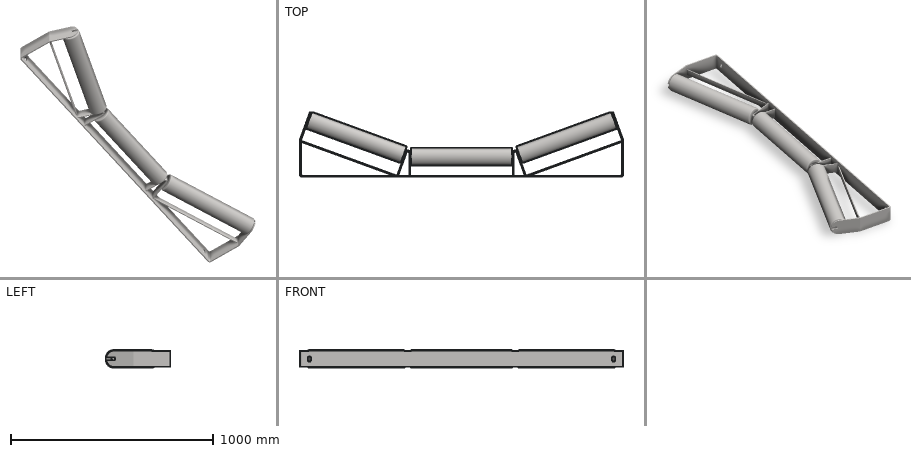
import cadquery as cq
import math

TROUGH_ANGLE = 20
TOTAL_HEIGHT = 320.17

FRAME_LENGTH = 1600
FRAME_WIDTH = 80
PLATE = 6
FRAME_BEND_RADIUS = 12
ARM_BEND_HEIGHT = 182.5

ROLLER_DIAMETER = 89
ROLLER_LENGTH = 500
ROLLER_ROUNDING = 5
CENTRE_AXIS_HEIGHT = 100
WING_CENTRE_X = 520.5

SHAFT_DIAMETER = 20
SHAFT_FLATS = 14
SHAFT_GAP = 4

BRACKET_PLATE = 5
BRACKET_WIDTH = 50
BRACKET_HEIGHT = 130
BRACKET_BEND_RADIUS = 11

BRACE_WIDTH = 30
BRACE_PLATE = 5
BRACE_TOP_HEIGHT = 178

HOLE_X = 753
HOLE_WIDTH = 18
HOLE_HEIGHT = 24

SIN = math.sin(math.radians(TROUGH_ANGLE))
COS = math.cos(math.radians(TROUGH_ANGLE))
TAN = SIN / COS
HALF_FRAME = FRAME_LENGTH / 2
HALF_ROLLER = ROLLER_LENGTH / 2
ROLLER_RADIUS = ROLLER_DIAMETER / 2

WING_RISE = (
    (HALF_ROLLER - ROLLER_ROUNDING) * SIN + (ROLLER_RADIUS - ROLLER_ROUNDING) * COS + ROLLER_ROUNDING
)
WING_CENTRE_Y = TOTAL_HEIGHT - WING_RISE

BRACKET_REACH = HALF_ROLLER + SHAFT_GAP + BRACKET_PLATE
ARM_REACH = (HALF_FRAME - WING_CENTRE_X) * COS + (ARM_BEND_HEIGHT - WING_CENTRE_Y) * SIN


def mirrored(body):
    """The right-hand counterpart of a left-hand body."""
    return body.mirror("YZ")


def to_wing(body):
    """Carry a body built along the X axis onto the left wing roller's axis."""
    tilted = body.rotate((0, 0, 0), (0, 0, 1), -TROUGH_ANGLE)
    return tilted.translate((-WING_CENTRE_X, WING_CENTRE_Y, 0))


def wing_point(along, across):
    """Point `along` the left wing axis from the roller's middle, outwards, and `across` it, upwards."""
    x = -WING_CENTRE_X - along * COS + across * SIN
    y = WING_CENTRE_Y + along * SIN + across * COS
    return (x, y)


def left_offset(points, distance):
    """The path moved sideways to its left by `distance`, with mitred corners."""
    headings = [math.atan2(q[1] - p[1], q[0] - p[0]) for p, q in zip(points, points[1:])]
    before = [headings[0]] + headings
    after = headings + [headings[-1]]
    moved = []
    for (x, y), a, b in zip(points, before, after):
        mitre = distance / math.cos((b - a) / 2)
        middle = (a + b) / 2
        moved.append((x - mitre * math.sin(middle), y + mitre * math.cos(middle)))
    return moved


def round_corners(body, corners, radius):
    for x, y in corners:
        body = body.edges(cq.selectors.NearestToPointSelector((x, y, 0))).fillet(radius)
    return body


def bent_plate(outer_path, width, thickness, bend_radius):
    """Plate folded along a path; the path is its outer face and lies to the right of the metal."""
    inner_path = left_offset(outer_path, thickness)
    outline = outer_path + inner_path[::-1]
    body = cq.Workplane("XY").polyline(outline).close().extrude(width / 2, both=True)
    body = round_corners(body, outer_path[1:-1], bend_radius)
    return round_corners(body, inner_path[1:-1], bend_radius - thickness)


def flat_sided_shaft(start, end):
    """Round bar along X with two flats facing up and down Z."""
    bar = cq.Workplane("YZ").workplane(offset=start).circle(SHAFT_DIAMETER / 2).extrude(end - start)
    flats = cq.Workplane("XY").box(FRAME_LENGTH, SHAFT_DIAMETER, SHAFT_FLATS)
    return bar.intersect(flats)


def shaft_slot(start, end):
    """Cutter for a slot that seats a shaft and is open above it."""
    opening = (
        cq.Workplane("XY")
        .box(end - start, FRAME_WIDTH, SHAFT_FLATS, centered=(False, False, True))
        .translate((start, 0, 0))
    )
    return flat_sided_shaft(start, end).union(opening)


def make_roller(left_reach, right_reach):
    barrel = cq.Workplane("YZ").workplane(offset=-HALF_ROLLER).circle(ROLLER_RADIUS).extrude(ROLLER_LENGTH)
    barrel = barrel.rotate((0, 0, 0), (1, 0, 0), -90)
    barrel = barrel.faces("<X or >X").edges().fillet(ROLLER_ROUNDING)
    return barrel.union(flat_sided_shaft(-left_reach, right_reach))


def make_arm_cutter():
    """Rounds the left arm's tip about the shaft and cuts its slot."""
    start = -ARM_REACH - PLATE
    end = -ARM_REACH + 2 * PLATE
    tip = (
        cq.Workplane("XY")
        .box(end - start, FRAME_WIDTH, 2 * FRAME_WIDTH, centered=(False, False, True))
        .translate((start, 0, 0))
    )
    rounding = cq.Workplane("YZ").workplane(offset=start).circle(FRAME_WIDTH / 2).extrude(end - start)
    return to_wing(tip.cut(rounding).union(shaft_slot(start, end)))


def make_frame():
    left_half = [wing_point(ARM_REACH, FRAME_WIDTH / 2), (-HALF_FRAME, ARM_BEND_HEIGHT), (-HALF_FRAME, 0)]
    right_half = [(-x, y) for x, y in reversed(left_half)]
    body = bent_plate(left_half + right_half, FRAME_WIDTH, PLATE, FRAME_BEND_RADIUS)
    arm_cutter = make_arm_cutter()
    body = body.cut(arm_cutter).cut(mirrored(arm_cutter))
    holes = (
        cq.Workplane("XZ")
        .pushPoints([(-HOLE_X, 0), (HOLE_X, 0)])
        .slot2D(HOLE_HEIGHT, HOLE_WIDTH, 90)
        .extrude(-PLATE)
    )
    return body.cut(holes)


def make_bracket():
    """Upside-down V: a leg square to the wing axis, a bent top and an upright leg."""
    near = BRACKET_REACH - BRACKET_PLATE
    face_x, face_y = wing_point(-near, 0)
    leaning_top = (face_x + (BRACKET_HEIGHT - face_y) * TAN, BRACKET_HEIGHT)
    leaning_foot = (face_x - (face_y + PLATE) * TAN, -PLATE)
    path = [(-near, -PLATE), (-near, BRACKET_HEIGHT), leaning_top, leaning_foot]
    body = bent_plate(path, BRACKET_WIDTH, BRACKET_PLATE, BRACKET_BEND_RADIUS)

    base = cq.Workplane("XY").box(FRAME_LENGTH, 4 * PLATE, 2 * FRAME_WIDTH).translate((0, -PLATE, 0))
    body = body.cut(base)

    slot_start = BRACKET_REACH - 2 * BRACKET_PLATE
    slot_end = BRACKET_REACH
    centre_slot = shaft_slot(-slot_end, -slot_start).translate((0, CENTRE_AXIS_HEIGHT, 0))
    wing_slot = to_wing(shaft_slot(slot_start, slot_end))
    return body.cut(centre_slot).cut(wing_slot)


def make_brace():
    x = -HALF_FRAME + PLATE
    top = BRACE_TOP_HEIGHT
    bottom = top - BRACE_PLATE / COS
    outline = [
        (x, top),
        (x, bottom),
        (x + (bottom - PLATE) / TAN, PLATE),
        (x + (top - PLATE) / TAN, PLATE),
    ]
    return cq.Workplane("XY").polyline(outline).close().extrude(BRACE_WIDTH / 2, both=True)


frame = make_frame()
centre_roller = make_roller(BRACKET_REACH, BRACKET_REACH).translate((0, CENTRE_AXIS_HEIGHT, 0))
left_wing_roller = to_wing(make_roller(ARM_REACH, BRACKET_REACH))
left_bracket = make_bracket()
left_brace = make_brace()

bodies = [frame, centre_roller]
for left_body in (left_wing_roller, left_bracket, left_brace):
    bodies += [left_body, mirrored(left_body)]

result = cq.Compound.makeCompound([body.val() for body in bodies])